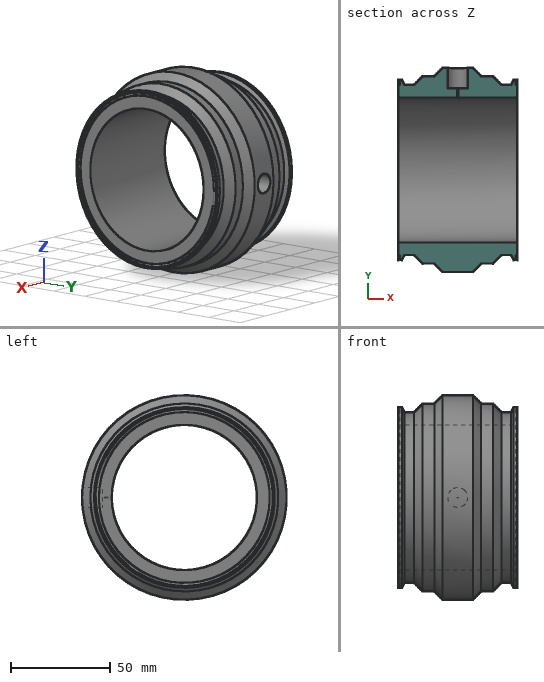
import cadquery as cq

length = 60.0
half_length = length / 2
bore_diameter = 72.9

flange_diameter = 91.0
flange_rim_width = 2.0
flange_width = 3.2

neck_diameter = 86.0
shoulder_diameter = 94.6
belt_diameter = 103.0
belt_width = 15.1
shoulder_width = 5.9
belt_cone = (belt_diameter - shoulder_diameter) / 2
shoulder_cone = (shoulder_diameter - neck_diameter) / 2

groove_inner_diameter = 85.9
groove_outer_diameter = 89.0
groove_depth = 0.9
groove_edge_fillet = 0.3

TOLERANCE = 0.001

port_diameter = 10.0
port_depth = 10.3
pinhole_diameter = 0.5


class RoundEdge(cq.Selector):
    """Select the circular edges of given diameters lying in the plane at x."""

    def __init__(self, x, *diameters):
        self.x = x
        self.radii = [diameter / 2 for diameter in diameters]

    def filter(self, edges):
        return [edge for edge in edges if self.matches(edge)]

    def matches(self, edge):
        if edge.geomType() != "CIRCLE":
            return False
        in_plane = abs(edge.Center().x - self.x) < TOLERANCE
        return in_plane and any(abs(edge.radius() - radius) < TOLERANCE for radius in self.radii)


def make_body():
    """Revolve the stepped wall section, symmetric about the YZ plane."""
    belt_end = belt_width / 2
    shoulder_start = belt_end + belt_cone
    shoulder_end = shoulder_start + shoulder_width
    outer_half = [
        (belt_end, belt_diameter / 2),
        (shoulder_start, shoulder_diameter / 2),
        (shoulder_end, shoulder_diameter / 2),
        (shoulder_end + shoulder_cone, neck_diameter / 2),
        (half_length - flange_width, neck_diameter / 2),
        (half_length - flange_rim_width, flange_diameter / 2),
        (half_length, flange_diameter / 2),
        (half_length, bore_diameter / 2),
    ]
    mirrored_half = [(-x, r) for x, r in reversed(outer_half)]
    section = cq.Workplane("XY").polyline(mirrored_half + outer_half).close()
    return section.revolve(360, (0, 0, 0), (1, 0, 0))


def make_groove(side):
    """Ring cutter for the end face at side * half_length."""
    face = side * half_length
    inner = groove_inner_diameter / 2
    outer = groove_outer_diameter / 2
    bottom = (face - side * groove_depth, (inner + outer) / 2)
    section = cq.Workplane("XY").moveTo(face, inner).threePointArc(bottom, (face, outer)).close()
    return section.revolve(360, (0, 0, 0), (1, 0, 0))


def make_port():
    """Flat-bottomed port with a pinhole leading on into the bore."""
    belt_radius = belt_diameter / 2
    outward = cq.Workplane("XZ", origin=(0, belt_radius, 0))
    port = outward.circle(port_diameter / 2).extrude(port_depth)
    pinhole = outward.circle(pinhole_diameter / 2).extrude(belt_radius)
    return port.union(pinhole)


result = make_body()
for side in (-1, 1):
    groove_edges = RoundEdge(side * half_length, groove_inner_diameter, groove_outer_diameter)
    result = result.cut(make_groove(side))
    result = result.edges(groove_edges).fillet(groove_edge_fillet)
result = result.cut(make_port())